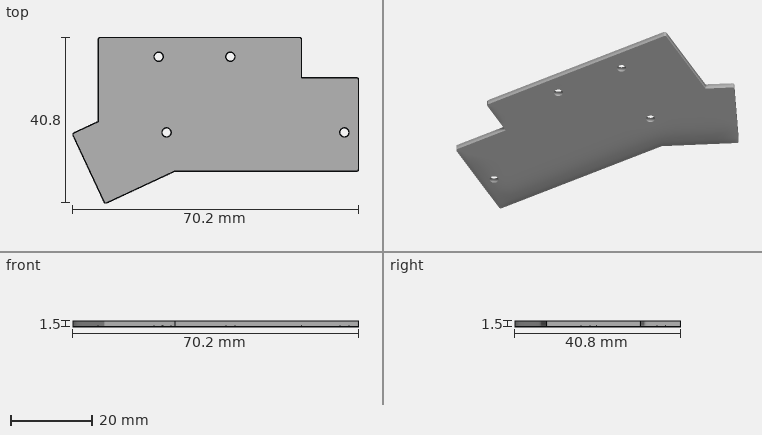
import math
import cadquery as cq

OVERALL_X = 70.25
OVERALL_Y = 40.75
THICKNESS = 1.5

BODY_LENGTH = 64.0
BODY_HEIGHT = 32.9
STEP_LENGTH = 14.0
STEP_HEIGHT = 9.9

TAB_ANGLE = 25.0
TAB_WIDTH = 19.05

CORNER_RADIUS = 0.5

HOLE_DIAMETER = 2.2
UPPER_HOLE_Y = 28.15
LOWER_HOLE_Y = 9.55
UPPER_HOLE_XS = (14.85, 32.48)
LOWER_HOLE_XS = (16.8, 60.5)

TAB_COS = math.cos(math.radians(TAB_ANGLE))
TAB_SIN = math.sin(math.radians(TAB_ANGLE))
TAB_TAN = TAB_SIN / TAB_COS

ROUNDING_INSET = CORNER_RADIUS * (TAB_COS + TAB_SIN - 1)

tab_upper_x = BODY_LENGTH - OVERALL_X - ROUNDING_INSET
tab_lower_y = BODY_HEIGHT - OVERALL_Y - ROUNDING_INSET
tab_lower_x = tab_upper_x + TAB_WIDTH * TAB_SIN
tab_upper_y = tab_lower_y + TAB_WIDTH * TAB_COS

tab_top_joint_y = tab_upper_y - tab_upper_x * TAB_TAN
tab_bottom_joint_x = tab_lower_x - tab_lower_y / TAB_TAN

step_x = BODY_LENGTH - STEP_LENGTH
step_y = BODY_HEIGHT - STEP_HEIGHT


def nearest_to_corner(x, y):
    """Selector for the through-thickness edge standing at (x, y)."""
    return cq.selectors.NearestToPointSelector((x, y, THICKNESS / 2))


def make_plate():
    """Plate with sharp corners."""
    outline = [
        (0, BODY_HEIGHT),
        (step_x, BODY_HEIGHT),
        (step_x, step_y),
        (BODY_LENGTH, step_y),
        (BODY_LENGTH, 0),
        (tab_bottom_joint_x, 0),
        (tab_lower_x, tab_lower_y),
        (tab_upper_x, tab_upper_y),
        (0, tab_top_joint_y),
    ]
    return cq.Workplane("XY").polyline(outline).close().extrude(THICKNESS)


def round_corners(plate):
    """Round the outward corners; the inward ones stay sharp."""
    outward_corners = [
        (0, BODY_HEIGHT),
        (step_x, BODY_HEIGHT),
        (BODY_LENGTH, step_y),
        (BODY_LENGTH, 0),
        (tab_lower_x, tab_lower_y),
        (tab_upper_x, tab_upper_y),
    ]
    for x, y in outward_corners:
        plate = plate.edges("|Z").edges(nearest_to_corner(x, y)).fillet(CORNER_RADIUS)
    return plate


def drill_holes(plate):
    """Drill the two rows of screw holes through the plate."""
    centers = [(x, UPPER_HOLE_Y) for x in UPPER_HOLE_XS]
    centers += [(x, LOWER_HOLE_Y) for x in LOWER_HOLE_XS]
    holes = (
        cq.Workplane("XY")
        .pushPoints(centers)
        .circle(HOLE_DIAMETER / 2)
        .extrude(THICKNESS)
    )
    return plate.cut(holes)


result = drill_holes(round_corners(make_plate()))